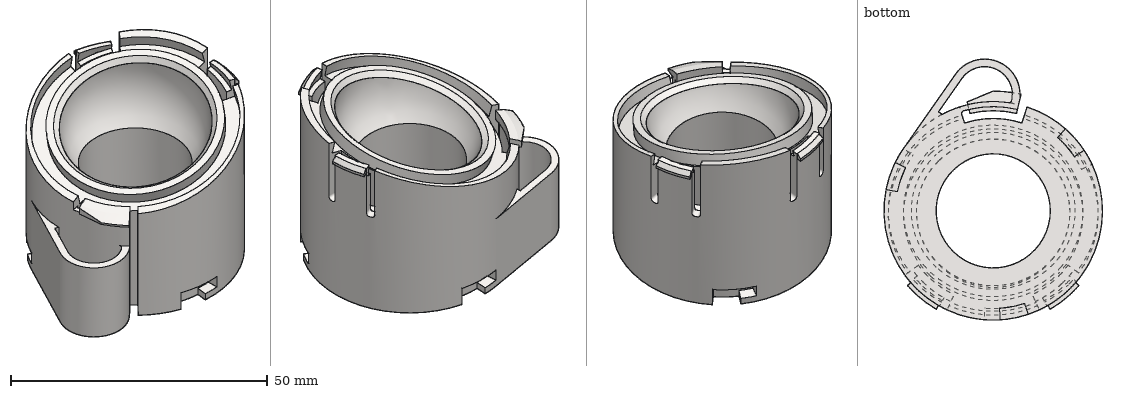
import cadquery as cq
import math

body_radius = 21.32
total_length = 50.95
total_height = 37.75
top_tilt = 17.0

groove_radius = 20.5
groove_depth = 2.55
collar_radius = 35.0 / 2
bowl_radius = 15.0
bowl_chamfer = 1.0
bore_radius = 11.1

core_radius = 18.05
tab_inner_radius = 19.5
spring_root = 23.15

front_half_angle = 18.0
latch_half_angle = 13.5
skin_radius = 20.3
skin_root_fillet = 0.5
hook_radius = 23.4
hook_tip_bottom = 23.3
hook_tip_top = 23.7
hook_lead_radius = 21.85
hook_sections = 5

loop_height = 17.0
loop_radius = 6.95
loop_thickness = 1.55
loop_center_x = -1.7
loop_web_end = 0.8
loop_end_angle = 45.0
loop_joint_fillet = 0.5

snap_angle = 39.5
snap_half_angle = 10.0
snap_lip_half_angle = 9.5
snap_pocket_half_angle = 14.5
snap_top = 35.1
snap_lip_radius = 22.185
snap_lip_bottom = 33.6
slot_fillet = 0.65

bayonet_count = 3
bayonet_start = 191.3
bayonet_entry_sweep = 15.0
bayonet_lock_sweep = 23.5
bayonet_height = 4.1
bayonet_step = 1.55
bayonet_radius = 19.05

FRONT = 270.0
REAR = 90.0
reach = 2 * body_radius
tilt = math.radians(top_tilt)
top_center_z = total_height - body_radius * math.tan(tilt)
loop_center_y = body_radius - total_length + loop_radius
loop_distance = math.hypot(loop_center_x, loop_center_y)
loop_direction = math.degrees(math.atan2(loop_center_y, loop_center_x))


def polar(radius, angle):
    """XY point at an angle in degrees, counted from +X."""
    a = math.radians(angle)
    return radius * math.cos(a), radius * math.sin(a)


def cylinder(radius, z0, z1):
    return cq.Workplane("XY").workplane(offset=z0).circle(radius).extrude(z1 - z0)


def ring_sector(inner, outer, start, end, z0, z1):
    """Part of an upright ring between two angles and two heights."""
    middle = (start + end) / 2
    return (
        cq.Workplane("XY")
        .workplane(offset=z0)
        .moveTo(*polar(inner, start))
        .lineTo(*polar(outer, start))
        .threePointArc(polar(outer, middle), polar(outer, end))
        .lineTo(*polar(inner, end))
        .threePointArc(polar(inner, middle), polar(inner, start))
        .close()
        .extrude(z1 - z0)
    )


def revolved_sector(profile, start, end):
    """Turn a closed (radius, z) profile about Z from one angle to another."""
    return (
        cq.Workplane("XZ")
        .polyline(profile)
        .close()
        .revolve(end - start, (0, 0, 0), (0, 1, 0))
        .rotate((0, 0, 0), (0, 0, 1), start)
    )


def top_height(y):
    """Height of the slanted top at a Y place."""
    return top_center_z + y * math.tan(tilt)


def slanted(depth=0.0):
    """Workplane parallel to the slanted top, sunk below it by a depth."""
    normal = (0, -math.sin(tilt), math.cos(tilt))
    plane = cq.Plane(origin=(0, 0, top_center_z), xDir=(1, 0, 0), normal=normal)
    return cq.Workplane(plane).workplane(offset=-depth)


above_top = slanted().rect(2 * reach, 2 * reach).extrude(reach)


def make_body():
    """Slant-cut cylinder with a ring groove, a bowl and a through bore."""
    body = cylinder(body_radius, 0, total_height).cut(above_top)
    groove = slanted(groove_depth).circle(groove_radius).circle(collar_radius).extrude(reach)
    bowl = cq.Workplane("XY").sphere(bowl_radius).translate((0, 0, top_center_z))
    mouth = (
        slanted(bowl_chamfer)
        .circle(bowl_radius)
        .workplane(offset=bowl_chamfer)
        .circle(bowl_radius + bowl_chamfer)
        .loft()
    )
    bore = cylinder(bore_radius, 0, top_center_z)
    return body.cut(groove).cut(bowl).cut(mouth).cut(bore)


def cut_rear_snap(body, angle):
    """Free a springy tab with a pocket behind it and a slot on each side; add its lip."""
    start = angle - snap_pocket_half_angle
    end = angle + snap_pocket_half_angle
    tab_start = angle - snap_half_angle
    tab_end = angle + snap_half_angle
    body = body.cut(ring_sector(core_radius, tab_inner_radius, start, end, spring_root, total_height))
    for slot_start, slot_end in ((start, tab_start), (tab_end, end)):
        slot = ring_sector(tab_inner_radius, reach, slot_start, slot_end, spring_root, total_height)
        slot = slot.faces("<Z").edges("%LINE").fillet(slot_fillet)
        body = body.cut(slot)
    body = body.cut(ring_sector(tab_inner_radius, reach, tab_start, tab_end, snap_top, total_height))
    bevel = snap_lip_radius - body_radius
    lip = revolved_sector(
        [
            (groove_radius, snap_lip_bottom),
            (snap_lip_radius, snap_lip_bottom),
            (snap_lip_radius, snap_top - bevel),
            (body_radius, snap_top),
            (groove_radius, snap_top),
        ],
        angle - snap_lip_half_angle,
        angle + snap_lip_half_angle,
    )
    return body.union(lip)


def make_hook(start, end):
    """Hook whose top follows the slanted plane and bevels down to a level tip past the body."""
    sections = []
    for i in range(hook_sections):
        angle = start + i * (end - start) / (hook_sections - 1)
        inner_x, inner_y = polar(tab_inner_radius, angle)
        outer_x, outer_y = polar(body_radius, angle)
        tip_x, tip_y = polar(hook_radius, angle)
        corners = [
            (inner_x, inner_y, spring_root),
            (outer_x, outer_y, spring_root),
            (tip_x, tip_y, hook_tip_bottom),
            (tip_x, tip_y, hook_tip_top),
            (outer_x, outer_y, top_height(outer_y)),
            (inner_x, inner_y, top_height(inner_y)),
        ]
        sections.append(cq.Wire.makePolygon([cq.Vector(*corner) for corner in corners], close=True))
    return cq.Workplane(cq.Solid.makeLoft(sections))


def cut_front_latch(body):
    """Open the front pocket, leaving only the thin skin that carries the hook."""
    start = FRONT - front_half_angle
    latch_start = FRONT - latch_half_angle
    latch_end = FRONT + latch_half_angle
    pocket = ring_sector(core_radius, reach, start, FRONT + front_half_angle, 0, total_height)
    skin = ring_sector(skin_radius, reach, start, latch_end, 0, spring_root)
    hook = make_hook(latch_start, latch_end)
    lead_in = (
        cq.Workplane("XY")
        .polyline([(0, -hook_radius), polar(hook_lead_radius, latch_start), polar(reach, latch_start)])
        .close()
        .extrude(total_height)
    )
    hook = hook.cut(lead_in)
    root = cq.selectors.NearestToPointSelector((*polar(skin_radius, start), spring_root / 2))
    pocket = pocket.cut(skin).edges(root).fillet(skin_root_fillet)
    return body.cut(pocket).union(hook)


def loop_outline(inset, start):
    """Straight run along the body tangent and a round end, both moved inward by an inset.

    The straight run begins at a distance from the point where the tangent leaves the body.
    """
    spread = math.degrees(math.acos((body_radius - loop_radius) / loop_distance))
    tangent_angle = loop_direction - spread

    def along_tangent(offset):
        x, y = polar(offset, tangent_angle)
        run_x, run_y = polar(start, tangent_angle + 90)
        return x + run_x, y + run_y

    def on_round_end(angle):
        x, y = polar(loop_radius - inset, angle)
        return loop_center_x + x, loop_center_y + y

    return (
        cq.Workplane("XY")
        .moveTo(*along_tangent(core_radius))
        .lineTo(*along_tangent(body_radius - inset))
        .lineTo(*on_round_end(tangent_angle))
        .threePointArc(on_round_end(FRONT), on_round_end(loop_end_angle))
        .close()
        .extrude(loop_height)
    )


def make_loop():
    """Finger loop tangent to the body at one end and joined to the latch skin at the other."""
    opening_top = body_radius - loop_thickness - loop_web_end
    opening_start = math.sqrt(body_radius**2 - opening_top**2)
    band = loop_outline(0, 0).cut(loop_outline(loop_thickness, opening_start))
    return band.cut(cylinder((skin_radius + body_radius) / 2, 0, loop_height))


def fillet_loop_joint(body):
    """Round the inner corner where the loop meets the latch skin."""
    inner = loop_radius - loop_thickness
    cosine = (body_radius**2 + loop_distance**2 - inner**2) / (2 * body_radius * loop_distance)
    corner = polar(body_radius, loop_direction + math.degrees(math.acos(cosine)))
    joint = cq.selectors.NearestToPointSelector((*corner, loop_height / 2))
    return body.edges(joint).fillet(loop_joint_fillet)


def cut_bayonets(body):
    """L-shaped notches: an open entry and a raised locking run."""
    for i in range(bayonet_count):
        start = bayonet_start + i * 360 / bayonet_count
        for sweep, z0 in ((bayonet_entry_sweep, 0), (bayonet_lock_sweep, bayonet_step)):
            body = body.cut(ring_sector(bayonet_radius, reach, start, start + sweep, z0, bayonet_height))
    return body


result = make_body()
for angle in (REAR - snap_angle, REAR + snap_angle):
    result = cut_rear_snap(result, angle)
result = cut_front_latch(cut_bayonets(result))
result = fillet_loop_joint(result.union(make_loop()))